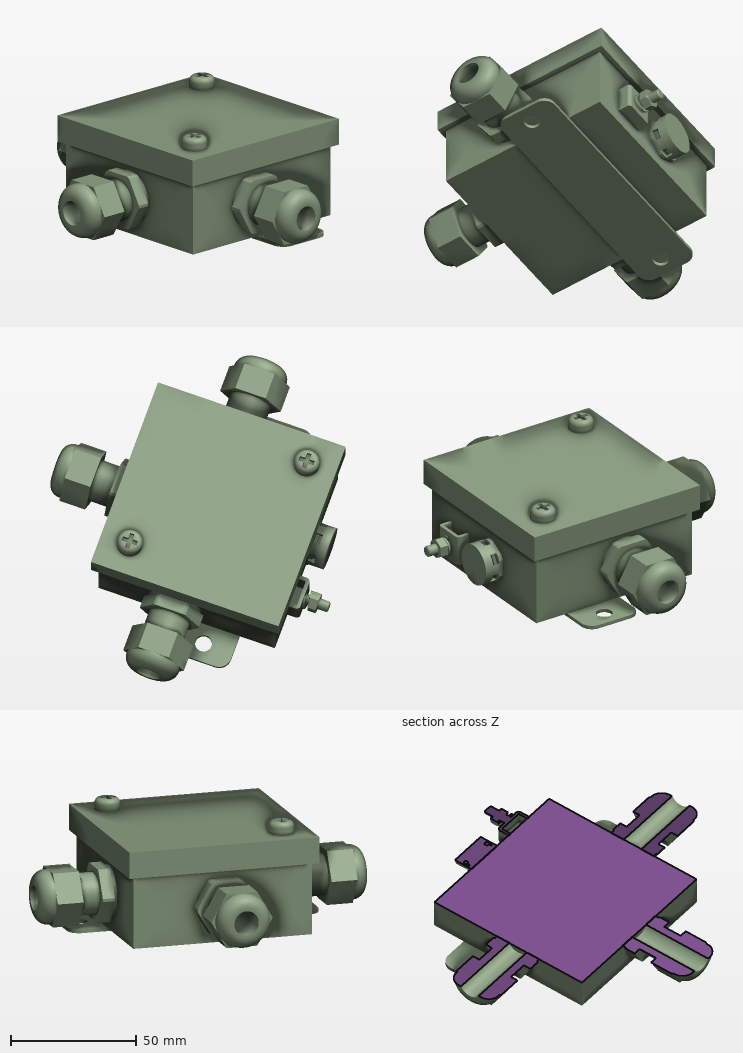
import cadquery as cq
import math


BOX_SIDE = 74.9
LID_SIDE = 79.7
PLATE_THICKNESS = 1.5
LID_BOTTOM_Z = 31.3
LID_TOP_Z = 42.1
WALL = BOX_SIDE / 2

PLATE_LENGTH = 105.2
PLATE_WIDTH = 25.0
PLATE_CENTRE_Y = 9.9
PLATE_CORNER_RADIUS = 5.0
PLATE_HOLE_DIAMETER = 6.7
PLATE_HOLE_SPACING = 90.3

SCREW_OFFSET = 27.7
SCREW_RADIUS = 5.1
SCREW_HEIGHT = 5.0
SCREW_EDGE_RADIUS = 2.2
SCREW_SLOT_LENGTH = 6.3
SCREW_SLOT_WIDTH = 1.8
SCREW_SLOT_DEPTH = 2.0

GLAND_AXIS_Z = 17.0
SIDE_GLAND_Y = -5.0
GLAND_FLATS = 22.3
GLAND_FLANGE_LENGTH = 1.4
LOCKNUT_LENGTH = 5.1
LOCKNUT_TRIM_RADIUS = 12.5
NECK_LENGTH = 8.1
NECK_RADIUS = 8.5
CAP_NUT_LENGTH = 10.9
DOME_LENGTH = 5.9
DOME_EDGE_RADIUS = 5.1
GLAND_BORE_RADIUS = 5.1

VENT_X = -5.0
VENT_Z = 16.1
VENT_HEX_FLATS = 17.1
VENT_HEX_TRIM_RADIUS = 9.2
VENT_HEX_LENGTH = 1.8
VENT_CAP_RADIUS = 8.7
VENT_CAP_LENGTH = 6.5
VENT_SLOT_COUNT = 6
VENT_SLOT_WIDTH = 4.3
VENT_SLOT_LENGTH = 2.8
VENT_SLOT_DEPTH = 1.7
VENT_RECESS_DEPTH = 2.5

TERMINAL_X = 17.6
TERMINAL_Z = 14.3
BRACKET_WIDTH = 13.6
BRACKET_HEIGHT = 12.4
BRACKET_DEPTH = 5.6
BRACKET_THICKNESS = 1.5
BRACKET_CORNER_RADIUS = 1.5
BRACKET_INNER_RADIUS = 0.5
WASHER_OUTER_RADIUS = 4.0
WASHER_THICKNESS = 0.7
WASHER_HEIGHT = 2.3
WASHER_BITE = 0.1
EARTH_NUT_FLATS = 7.3
EARTH_NUT_LENGTH = 3.6
EARTH_NUT_CHAMFER = 0.4
STUD_RADIUS = 2.2
STUD_PROJECTION = 16.0
STUD_CHAMFER = 0.4


def across_corners(flats):
    """Corner-to-corner size of a regular hexagon with the given size across its flats."""
    return flats / math.cos(math.pi / 6)


def trimmed_hexagon(plane, flats, trim_radius, length):
    """Hexagonal prism whose corners are turned down to trim_radius."""
    hexagon = cq.Workplane(plane).polygon(6, across_corners(flats)).extrude(length)
    return hexagon.intersect(cq.Workplane(plane).circle(trim_radius).extrude(length))


def plane_along(plane, distance):
    """Parallel plane moved by distance along the normal."""
    return cq.Plane(plane.toWorldCoords((0, 0, distance)), plane.xDir, plane.zDir)


def make_lid_screw(x, y):
    """Raised screw head with a rounded rim and a cross recess."""
    head = (
        cq.Workplane(cq.Plane((x, y, LID_TOP_Z)))
        .circle(SCREW_RADIUS)
        .extrude(SCREW_HEIGHT)
        .faces(">Z")
        .edges()
        .fillet(SCREW_EDGE_RADIUS)
    )
    slots = cq.Workplane(cq.Plane((x, y, LID_TOP_Z + SCREW_HEIGHT)))
    for length, width in (
        (SCREW_SLOT_LENGTH, SCREW_SLOT_WIDTH),
        (SCREW_SLOT_WIDTH, SCREW_SLOT_LENGTH),
    ):
        head = head.cut(slots.rect(length, width).extrude(-SCREW_SLOT_DEPTH))
    return head


def make_mounting_plate():
    """Flat plate under the box with a fixing hole in each projecting ear."""
    return (
        cq.Workplane("XY")
        .center(0, PLATE_CENTRE_Y)
        .rect(PLATE_LENGTH, PLATE_WIDTH)
        .extrude(PLATE_THICKNESS)
        .edges("|Z")
        .fillet(PLATE_CORNER_RADIUS)
        .faces(">Z")
        .workplane(centerOption="CenterOfMass")
        .rarray(PLATE_HOLE_SPACING, 1.4, 2, 1)
        .hole(PLATE_HOLE_DIAMETER)
    )


def make_enclosure():
    """Box with its overhanging lid, mounting plate and two lid screws."""
    box = (
        cq.Workplane(cq.Plane((0, 0, PLATE_THICKNESS)))
        .rect(BOX_SIDE, BOX_SIDE)
        .extrude(LID_BOTTOM_Z - PLATE_THICKNESS)
    )
    lid = (
        cq.Workplane(cq.Plane((0, 0, LID_BOTTOM_Z)))
        .rect(LID_SIDE, LID_SIDE)
        .extrude(LID_TOP_Z - LID_BOTTOM_Z)
    )
    body = box.union(lid).union(make_mounting_plate())
    for side in (-1, 1):
        body = body.union(make_lid_screw(side * SCREW_OFFSET, -side * SCREW_OFFSET))
    return body


def make_gland(wall_point, outward):
    """Cable gland standing on a wall, with hexagon flats facing up and down."""
    base = cq.Plane(wall_point, cq.Vector(0, 0, 1).cross(cq.Vector(outward)), outward)

    locknut_start = GLAND_FLANGE_LENGTH
    neck_start = locknut_start + LOCKNUT_LENGTH
    cap_nut_start = neck_start + NECK_LENGTH
    dome_start = cap_nut_start + CAP_NUT_LENGTH
    gland_length = dome_start + DOME_LENGTH

    flange = cq.Workplane(base).circle(GLAND_FLATS / 2).extrude(GLAND_FLANGE_LENGTH)
    locknut = trimmed_hexagon(
        plane_along(base, locknut_start), GLAND_FLATS, LOCKNUT_TRIM_RADIUS, LOCKNUT_LENGTH
    )
    neck = cq.Workplane(plane_along(base, neck_start)).circle(NECK_RADIUS).extrude(NECK_LENGTH)
    cap_nut = (
        cq.Workplane(plane_along(base, cap_nut_start))
        .polygon(6, across_corners(GLAND_FLATS))
        .extrude(CAP_NUT_LENGTH)
    )
    dome = (
        cq.Workplane(plane_along(base, dome_start))
        .circle(GLAND_FLATS / 2)
        .extrude(DOME_LENGTH)
        .faces(cq.selectors.DirectionMinMaxSelector(base.zDir))
        .edges()
        .fillet(DOME_EDGE_RADIUS)
    )
    bore = cq.Workplane(base).circle(GLAND_BORE_RADIUS).extrude(gland_length)
    return flange.union(locknut).union(neck).union(cap_nut).union(dome).cut(bore)


def make_vent_plug():
    """Round vent cap on a hexagonal base; its slots step deeper away from the base."""
    base = cq.Plane((VENT_X, WALL, VENT_Z), (0, 0, 1), (0, 1, 0))
    cap_plane = plane_along(base, VENT_HEX_LENGTH)
    hexagon = trimmed_hexagon(base, VENT_HEX_FLATS, VENT_HEX_TRIM_RADIUS, VENT_HEX_LENGTH)
    cap = cq.Workplane(cap_plane).circle(VENT_CAP_RADIUS).extrude(VENT_CAP_LENGTH)

    def ring_of_slots(start, depth):
        return (
            cq.Workplane(cap_plane)
            .workplane(offset=start)
            .polarArray(VENT_CAP_RADIUS, 0, 360, VENT_SLOT_COUNT)
            .rect(2 * depth, VENT_SLOT_WIDTH)
            .extrude(VENT_SLOT_LENGTH - start)
        )

    slots = ring_of_slots(0, VENT_SLOT_DEPTH)
    recesses = ring_of_slots(VENT_SLOT_LENGTH / 2, VENT_RECESS_DEPTH)
    return hexagon.union(cap.cut(slots).cut(recesses))


def make_bracket():
    """Tray-shaped bracket on the +Y wall, open at the top, with rounded outer corners."""
    outer = (
        cq.Workplane("XY")
        .box(BRACKET_WIDTH, BRACKET_DEPTH, BRACKET_HEIGHT, centered=(True, False, True))
        .edges("|Z and >Y")
        .fillet(BRACKET_CORNER_RADIUS)
    )
    pocket = (
        cq.Workplane("XY")
        .box(
            BRACKET_WIDTH - 2 * BRACKET_THICKNESS,
            BRACKET_DEPTH - BRACKET_THICKNESS,
            BRACKET_HEIGHT,
            centered=(True, False, True),
        )
        .faces("<Z")
        .edges("not <Y")
        .fillet(BRACKET_INNER_RADIUS)
    )
    return outer.cut(pocket.translate((0, 0, BRACKET_THICKNESS)))


def make_spring_washer():
    """Split spring washer: one turn of a flat helix, its gap facing up."""
    inner_radius = STUD_RADIUS - WASHER_BITE
    mean_radius = (WASHER_OUTER_RADIUS + inner_radius) / 2
    width = WASHER_OUTER_RADIUS - inner_radius
    pitch = WASHER_HEIGHT - WASHER_THICKNESS + 2 * WASHER_BITE
    path = cq.Wire.makeHelix(pitch, pitch, mean_radius)
    return (
        cq.Workplane("XZ")
        .center(mean_radius, WASHER_THICKNESS / 2 - WASHER_BITE)
        .rect(width, WASHER_THICKNESS)
        .sweep(cq.Workplane(path), isFrenet=True)
    )


def make_earth_terminal():
    """Threaded earth stud with its bracket, spring washer and nut, on the +Y wall."""
    base = cq.Plane((TERMINAL_X, WALL, TERMINAL_Z), (0, 0, 1), (0, 1, 0))

    bracket = make_bracket().translate((TERMINAL_X, WALL, TERMINAL_Z))
    washer_place = cq.Location(plane_along(base, BRACKET_DEPTH))
    washer = cq.Workplane(make_spring_washer().val().moved(washer_place))
    nut_plane = plane_along(base, BRACKET_DEPTH + WASHER_HEIGHT)
    nut = (
        cq.Workplane(nut_plane)
        .polygon(6, across_corners(EARTH_NUT_FLATS))
        .extrude(EARTH_NUT_LENGTH)
    )
    turned_blank = (
        cq.Workplane(nut_plane)
        .circle(across_corners(EARTH_NUT_FLATS) / 2)
        .extrude(EARTH_NUT_LENGTH)
        .faces(">Y")
        .chamfer(EARTH_NUT_CHAMFER)
    )
    nut = nut.intersect(turned_blank)
    stud_length = STUD_PROJECTION - BRACKET_DEPTH
    stud = (
        cq.Workplane(plane_along(base, BRACKET_DEPTH))
        .circle(STUD_RADIUS)
        .extrude(stud_length)
        .faces(">Y")
        .chamfer(STUD_CHAMFER)
    )
    return bracket.union(stud).union(nut).union(washer)


enclosure = make_enclosure()

gland_mounts = (
    ((-WALL, SIDE_GLAND_Y, GLAND_AXIS_Z), (-1, 0, 0)),
    ((WALL, SIDE_GLAND_Y, GLAND_AXIS_Z), (1, 0, 0)),
    ((0, -WALL, GLAND_AXIS_Z), (0, -1, 0)),
)
glands = [make_gland(point, outward) for point, outward in gland_mounts]

vent_plug = make_vent_plug()
earth_terminal = make_earth_terminal()

result = cq.Compound.makeCompound(
    [
        enclosure.val(),
        *[gland.val() for gland in glands],
        vent_plug.val(),
        earth_terminal.val(),
    ]
)